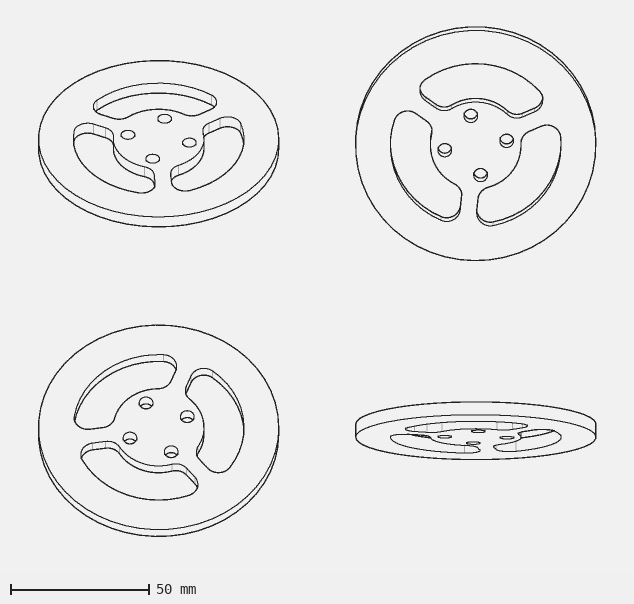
import cadquery as cq

outer_diameter = 87.0
thickness = 4.8

rim_inner_radius = 30.9
hub_radius = 16.4
spoke_width = 6.0
spoke_count = 3
first_spoke_angle = 90.0
window_corner_radius = 5.0

hole_diameter = 5.0
hole_spacing = 16.0


def make_spoke(angle):
    """Radial bar from the centre out past the inner edge of the rim."""
    length = outer_diameter / 2
    bar = cq.Workplane("XY").center(length / 2, 0).rect(length, spoke_width).extrude(thickness)
    return bar.rotate((0, 0, 0), (0, 0, 1), angle)


def make_windows():
    """Ring between hub and rim, split by the spokes, with rounded corners."""
    windows = cq.Workplane("XY").circle(rim_inner_radius).circle(hub_radius).extrude(thickness)
    for index in range(spoke_count):
        windows = windows.cut(make_spoke(first_spoke_angle + index * 360 / spoke_count))
    return windows.edges("|Z").fillet(window_corner_radius)


def make_mounting_holes():
    return (
        cq.Workplane("XY")
        .rarray(hole_spacing, hole_spacing, 2, 2)
        .circle(hole_diameter / 2)
        .extrude(thickness)
    )


disc = cq.Workplane("XY").circle(outer_diameter / 2).extrude(thickness)
result = disc.cut(make_windows()).cut(make_mounting_holes())